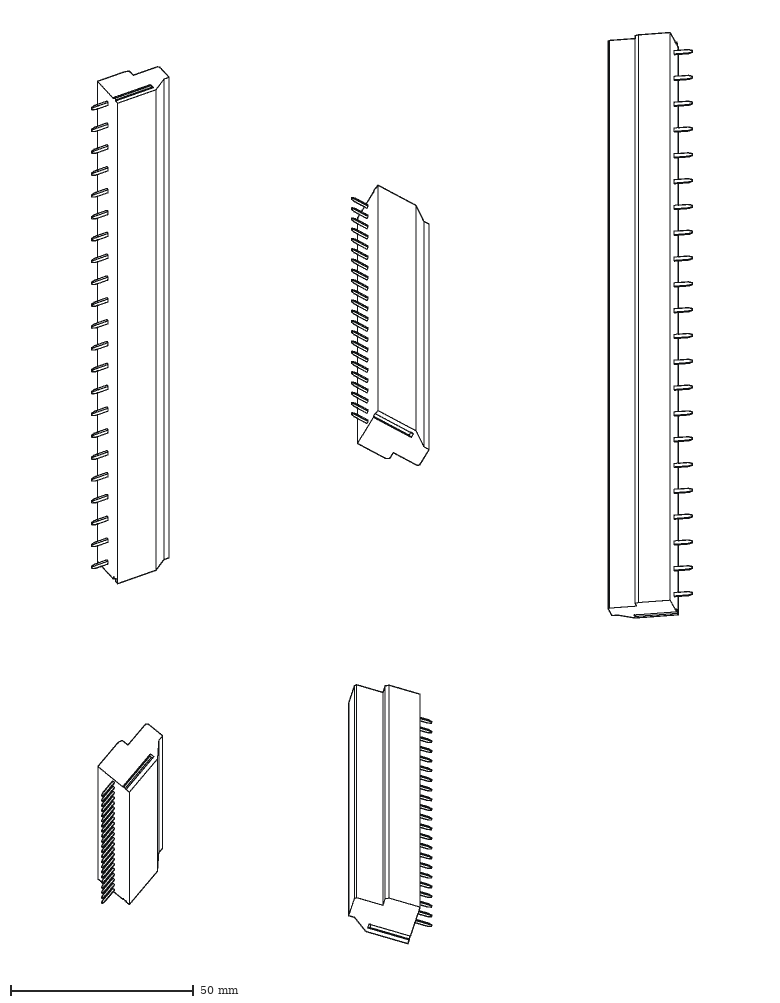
import cadquery as cq

body_width = 11.3
body_depth = 18.0
body_height = 167.5
front_depth = 10.0
step_inset = 2.5
corner_chamfer_x = 0.5
corner_chamfer_y = 1.0
rear_bevel = 0.5
slope_start = 12.1
slope_end = 16.3
slope_inset = 3.0

pin_count = 22
pin_pitch = body_height / pin_count
pin_length = 5.0
pin_width = 0.7
pin_height = 1.0
tip_length = 1.0
tip_scale = 0.5

total_height = 168.2
rib_x = 3.9
rib_width = 1.2
rib_bevel = 0.3
rib_rise = total_height - body_height
rib_length = 12.0
rib_top_length = 11.3
groove_depth = 0.8

half_width = body_width / 2


def make_housing():
    left = -half_width
    right = half_width
    step_x = left + step_inset
    outline = [
        (left, 0),
        (right, 0),
        (right, slope_start),
        (right - slope_inset, slope_end),
        (right - slope_inset, body_depth),
        (step_x + rear_bevel, body_depth),
        (step_x, body_depth - rear_bevel),
        (step_x, front_depth),
        (left + corner_chamfer_x, front_depth),
        (left, front_depth - corner_chamfer_y),
    ]
    return cq.Workplane("XY").polyline(outline).close().extrude(body_height)


def make_key(base_z, height):
    """Straight-sided key with a ramped rear end, running back from the pin face."""
    profile = [
        (0, base_z),
        (rib_length, base_z),
        (rib_top_length, base_z + height),
        (0, base_z + height),
    ]
    start_x = rib_x - rib_width / 2
    return cq.Workplane("YZ", origin=(start_x, 0, 0)).polyline(profile).close().extrude(rib_width)


def make_rib():
    """Key standing on the upper end, with its long top edges bevelled."""
    return make_key(body_height, rib_rise).edges("|Y").edges(">Z").chamfer(rib_bevel)


def make_pin(z):
    shank_length = pin_length - tip_length
    shank = cq.Workplane("XZ", origin=(0, 0, z)).rect(pin_width, pin_height).extrude(shank_length)
    tip = (
        cq.Workplane("XZ", origin=(0, -shank_length, z))
        .rect(pin_width, pin_height)
        .workplane(offset=tip_length)
        .rect(pin_width * tip_scale, pin_height * tip_scale)
        .loft()
    )
    return shank.union(tip)


result = make_housing()
result = result.union(make_rib())
result = result.cut(make_key(0, groove_depth))

first_pin_z = pin_pitch / 2
for index in range(pin_count):
    result = result.union(make_pin(first_pin_z + index * pin_pitch))